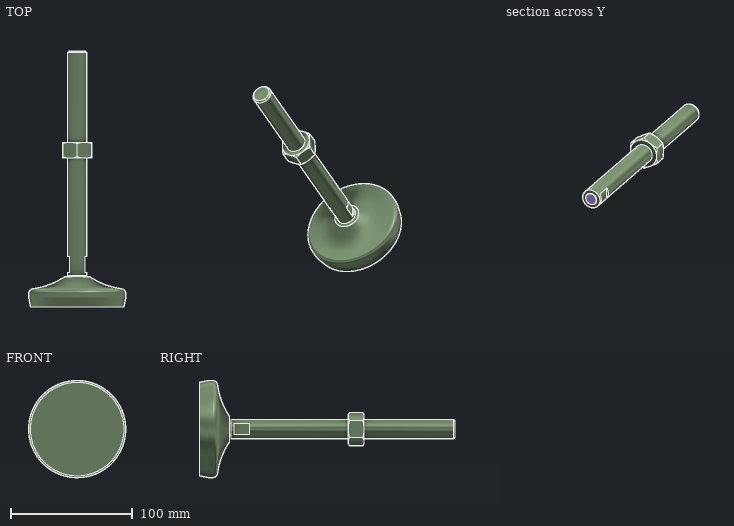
import cadquery as cq
import math

total_length = 210.0

pad_diameter = 80.0
sole_diameter = 76.9
rim_start = 7.8
rim_end = 11.0
rim_rounding = 4.2
rim_rounding_sweep = math.radians(75)
pad_top_radius = 11.1
pad_height = 25.0
pad_edge_chamfer = 0.6
flare_middle_radius = 23.5
flare_middle_height = 18.3

neck_diameter = 10.0
stud_diameter = 16.0
stud_start = 25.8
stud_end_chamfer_length = 1.3
stud_end_chamfer_depth = 1.3

flats_width = 13.0
flats_start = 28.5
flats_length = 12.8

nut_across_flats = 24.0
nut_start = 122.2
nut_height = 13.0
nut_chamfer_angle = math.radians(30)


def cylinder(diameter, start, end):
    """Solid cylinder on the Y axis between two Y positions."""
    plane = cq.Plane(origin=(0, start, 0), xDir=(1, 0, 0), normal=(0, 1, 0))
    return cq.Workplane(plane).circle(diameter / 2).extrude(end - start)


def make_pad():
    """Revolved pad: tapered sole, straight rim, rounded shoulder and concave flare."""
    rim_radius = pad_diameter / 2
    rounding_centre = rim_radius - rim_rounding

    def rounding_point(angle):
        return (
            rounding_centre + rim_rounding * math.cos(angle),
            rim_end + rim_rounding * math.sin(angle),
        )

    profile = (
        cq.Workplane("XY")
        .lineTo(sole_diameter / 2, 0)
        .lineTo(rim_radius, rim_start)
        .lineTo(rim_radius, rim_end)
        .threePointArc(rounding_point(rim_rounding_sweep / 2), rounding_point(rim_rounding_sweep))
        .threePointArc(
            (flare_middle_radius, flare_middle_height),
            (pad_top_radius, pad_height - pad_edge_chamfer),
        )
        .lineTo(pad_top_radius - pad_edge_chamfer, pad_height)
        .lineTo(0, pad_height)
        .close()
    )
    return profile.revolve(360, (0, 0, 0), (0, 1, 0))


def make_stud():
    """Stud with a chamfered free end and two wrench flats facing -X and +X."""
    stud = cylinder(stud_diameter, stud_start, total_length)
    stud = stud.faces(">Y").chamfer(stud_end_chamfer_length, stud_end_chamfer_depth)
    for side in (-1, 1):
        cutter = cq.Workplane("XY").box(stud_diameter, flats_length, stud_diameter)
        offset = side * (flats_width + stud_diameter) / 2
        stud = stud.cut(cutter.translate((offset, flats_start + flats_length / 2, 0)))
    return stud


def make_nut():
    """Hexagon with flats facing -X and +X, its corners chamfered by cones at both ends."""
    across_corners = nut_across_flats / math.cos(math.pi / 6)
    hexagon = (
        cq.Workplane("XZ", origin=(0, nut_start + nut_height, 0))
        .transformed(rotate=(0, 0, 90))
        .polygon(6, across_corners)
        .extrude(nut_height)
    )
    chamfer_depth = (across_corners - nut_across_flats) / 2
    chamfer_length = chamfer_depth * math.tan(nut_chamfer_angle)
    envelope = cylinder(across_corners, nut_start, nut_start + nut_height)
    for end in ("<Y", ">Y"):
        envelope = envelope.faces(end).edges().chamfer(chamfer_length, chamfer_depth)
    return hexagon.intersect(envelope)


neck = cylinder(neck_diameter, pad_height, stud_start)
result = make_pad().union(neck).union(make_stud()).union(make_nut())